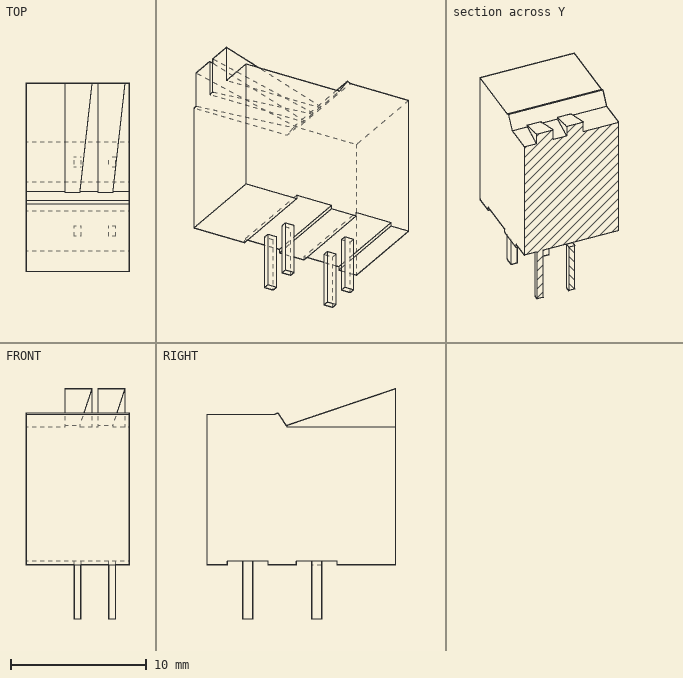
import cadquery as cq


housing_width = 7.62
housing_depth = 13.9
block_height = 11.1
ridge_height = 11.22
deck_height = 10.18
block_top_depth = 4.98
ridge_y = 5.24
deck_front_y = 5.92

recess_height = 0.29
recess_width = 2.98
recess_starts_y = (1.51, 6.6)

lever_top = 13.0
lever_left_x = 2.85
lever_pitch = 2.43
lever_count = 2
lever_rear_width = 2.0
lever_tip_width = 1.1
lever_tip_y = 5.85
ridge_slope = (ridge_height - deck_height) / (deck_front_y - ridge_y)
lever_tip_height = deck_height + (deck_front_y - lever_tip_y) * ridge_slope

total_height = 17
pin_bottom = lever_top - total_height
pin_size_x = 0.51
pin_size_y = 0.75
pin_left_x = 3.79
pin_front_y = 3.01
pin_pitch_x = 2.55
pin_pitch_y = 5.08
pin_right_x = pin_left_x + pin_pitch_x
pin_rear_y = pin_front_y + pin_pitch_y


def make_block():
    """Stepped side profile, extruded across the full width."""
    profile = [
        (0, 0),
        (0, block_height),
        (block_top_depth, block_height),
        (ridge_y, ridge_height),
        (deck_front_y, deck_height),
        (housing_depth, deck_height),
        (housing_depth, 0),
    ]
    return cq.Workplane("YZ").polyline(profile).close().extrude(housing_width)


def make_recess(start_y):
    """Cutter for one recess that runs across the underside."""
    return cq.Workplane("XY").box(
        housing_width, recess_width, recess_height, centered=False
    ).translate((0, start_y, 0))


def make_lever(left_x):
    """Wedge that rises to the rear and widens to the rear on its right side."""
    slope_profile = [
        (deck_front_y, deck_height),
        (housing_depth, deck_height),
        (housing_depth, lever_top),
        (lever_tip_y, lever_tip_height),
    ]
    wedge = cq.Workplane("YZ").polyline(slope_profile).close().extrude(lever_rear_width)
    plan_outline = [
        (0, lever_tip_y),
        (lever_tip_width, lever_tip_y),
        (lever_rear_width, housing_depth),
        (0, housing_depth),
    ]
    plan = cq.Workplane("XY").polyline(plan_outline).close().extrude(lever_top)
    return wedge.intersect(plan).translate((left_x, 0, 0))


def make_pin(center_x, center_y, top):
    """Rectangular pin from the common pin bottom up to the given top."""
    return cq.Workplane("XY").box(
        pin_size_x, pin_size_y, top - pin_bottom, centered=(True, True, False)
    ).translate((center_x, center_y, pin_bottom))


housing = make_block()
for start_y in recess_starts_y:
    housing = housing.cut(make_recess(start_y))
for index in range(lever_count):
    housing = housing.union(make_lever(lever_left_x + index * lever_pitch))
attached_pins = [
    (pin_left_x, pin_front_y),
    (pin_right_x, pin_front_y),
    (pin_right_x, pin_rear_y),
]
for center_x, center_y in attached_pins:
    housing = housing.union(make_pin(center_x, center_y, recess_height))

loose_pin = make_pin(pin_left_x, pin_rear_y, 0)

result = cq.Compound.makeCompound([housing.val(), loose_pin.val()])